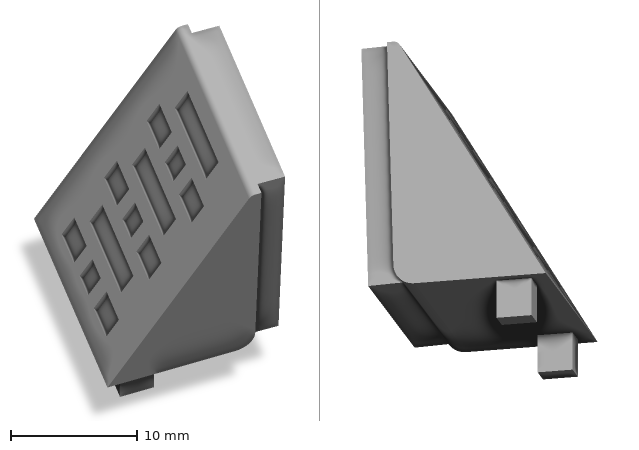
import cadquery as cq
import math

WIDTH = 17.5
TOP_HEIGHT = 20.33
FACE_ANGLE = 59.3
LEAN_ANGLE = 1.6
BACK_DEPTH = 12.36
TOP_RADIUS = 0.6
HEEL_RADIUS = 1.7

PLATE_WIDTH = 15.65
PLATE_THICKNESS = 2.31
PLATE_BOTTOM = 0.45
PLATE_ROOT = HEEL_RADIUS

FOOT_WIDTH = 1.8
FOOT_FRONT = 1.38
FOOT_LENGTH = 2.85
FOOT_HEIGHT = 3.1

POCKET_SINK = 0.6
POCKET_HEIGHT = 2.1
ROW_PITCH = 3.5
FIRST_ROW = 3.2
ROW_COUNT = 6
LONG_POCKET = 7.4
MIDDLE_POCKET = 2.0
SIDE_POCKET = 2.95
SIDE_OFFSET = 3.83

FACE_SLOPE = math.tan(math.radians(FACE_ANGLE))
LEAN = math.tan(math.radians(LEAN_ANGLE))


def back_wall(z):
    """Y of the back wall at height z."""
    return BACK_DEPTH + LEAN * z


def extrude_side(points, width):
    """Solid of the given width, centred on X = 0, from a (Y, Z) outline."""
    return cq.Workplane("YZ").polyline(points).close().extrude(width / 2, both=True)


def make_body():
    half_angle = math.radians(FACE_ANGLE / 2)
    round_center_y = TOP_HEIGHT / FACE_SLOPE + TOP_RADIUS * math.tan(half_angle)
    round_center_z = TOP_HEIGHT - TOP_RADIUS
    top_line_at_zero = (
        round_center_z + TOP_RADIUS / math.cos(math.radians(LEAN_ANGLE)) + LEAN * round_center_y
    )
    front_y = top_line_at_zero / (FACE_SLOPE + LEAN)
    back_z = (top_line_at_zero - LEAN * BACK_DEPTH) / (1 + LEAN**2)
    outline = [
        (0, 0),
        (front_y, FACE_SLOPE * front_y),
        (back_wall(back_z), back_z),
        (BACK_DEPTH, 0),
    ]
    body = extrude_side(outline, WIDTH)
    top_front = cq.selectors.NearestToPointSelector((0, front_y, FACE_SLOPE * front_y))
    heel = cq.selectors.NearestToPointSelector((0, BACK_DEPTH, 0))
    body = body.edges("|X").edges(top_front).fillet(TOP_RADIUS)
    body = body.edges("|X").edges(heel).fillet(HEEL_RADIUS)
    return body, back_z


def make_plate(top_z):
    """Plate standing off the back wall, its top flush with the body top."""
    lean = math.radians(LEAN_ANGLE)
    corner = (0, back_wall(top_z), top_z)
    frame = cq.Plane(origin=corner, xDir=(0, math.cos(lean), -math.sin(lean)), normal=(1, 0, 0))
    length = (top_z - PLATE_BOTTOM) / math.cos(lean)
    return (
        cq.Workplane(frame)
        .moveTo(-PLATE_ROOT, -length)
        .lineTo(PLATE_THICKNESS, -length)
        .lineTo(PLATE_THICKNESS, 0)
        .lineTo(0, 0)
        .close()
        .extrude(PLATE_WIDTH / 2, both=True)
    )


def make_feet():
    foot_x = (PLATE_WIDTH - FOOT_WIDTH) / 2
    return (
        cq.Workplane("XY")
        .pushPoints([(side * foot_x, FOOT_FRONT + FOOT_LENGTH / 2) for side in (-1, 1)])
        .rect(FOOT_WIDTH, FOOT_LENGTH)
        .extrude(-FOOT_HEIGHT)
    )


def make_pocket(x, up_slope, width):
    """Cutter for one pocket centred at x, its floor parallel to the sloped face."""
    low = up_slope - POCKET_HEIGHT / 2
    high = up_slope + POCKET_HEIGHT / 2
    cos_face = math.cos(math.radians(FACE_ANGLE))
    sin_face = math.sin(math.radians(FACE_ANGLE))
    sink_y = POCKET_SINK * cos_face
    sink_z = -POCKET_SINK * sin_face
    outline = [
        (low * cos_face, low * sin_face),
        (high * cos_face, high * sin_face),
        (high * cos_face + sink_y, high * sin_face + sink_z),
        (low * cos_face + sink_y, low * sin_face + sink_z),
    ]
    return extrude_side(outline, width).translate((x, 0, 0))


def cut_pockets(part):
    """Cut rows that alternate between three short pockets and one long one."""
    short_row = [(-SIDE_OFFSET, SIDE_POCKET), (0, MIDDLE_POCKET), (SIDE_OFFSET, SIDE_POCKET)]
    long_row = [(0, LONG_POCKET)]
    for row in range(ROW_COUNT):
        up_slope = FIRST_ROW + row * ROW_PITCH
        pockets = short_row if row % 2 == 0 else long_row
        for x, width in pockets:
            part = part.cut(make_pocket(x, up_slope, width))
    return part


body, body_back_top = make_body()
result = cut_pockets(body.union(make_plate(body_back_top)).union(make_feet()))